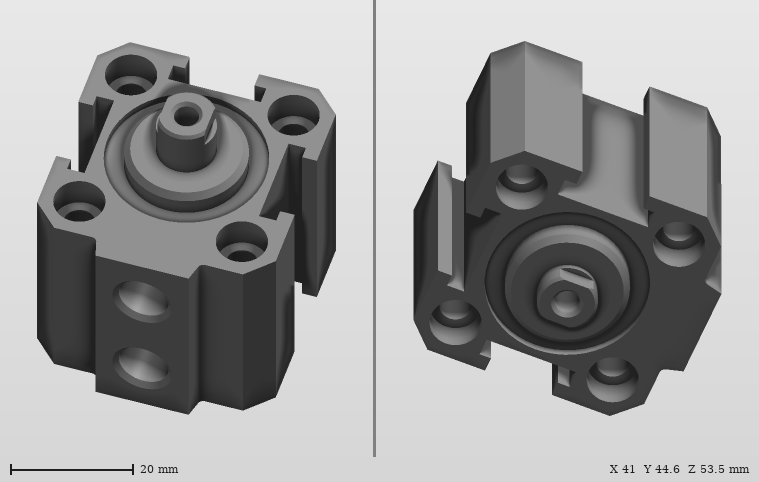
import cadquery as cq
import math


BLOCK_WIDTH = 41.0
BLOCK_HEIGHT = 35.45
CORNER_CHAMFER = 4.3
HALF_WIDTH = BLOCK_WIDTH / 2
HALF_HEIGHT = BLOCK_HEIGHT / 2

SLOT_OPENING = 11.95
SLOT_INNER_WIDTH = 16.0
SLOT_LIP = 2.5
SLOT_DEPTH = 5.5

RIB_TIP_WIDTH = SLOT_INNER_WIDTH
RIB_HEIGHT = 3.55
RIB_FLANK_ANGLE = 15.0
RIB_ROOT_RADIUS = 1.0
RIB_TIP_Y = -(HALF_WIDTH + RIB_HEIGHT)

PORT_DIAMETER = 8.5
PORT_CHAMFER = 0.85
PORT_DEPTH = 8.0
PORT_END_DISTANCE = 9.1

MOUNT_SPACING = 27.95
MOUNT_DIAMETER = 5.3
COUNTERBORE_DIAMETER = 8.55
COUNTERBORE_DEPTH = 5.5

RECESS_DIAMETER = 27.1
RECESS_DEPTH = 1.5
BOSS_DIAMETER = 20.5
BOSS_RISE = 2.5
BOSS_CHAMFER = 1.0

ROD_DIAMETER = 10.0
ROD_LENGTH = 53.5
ROD_TOP_EXTENSION = 9.0
ROD_CHAMFER = 0.5
ROD_TOP = HALF_HEIGHT + BOSS_RISE + ROD_TOP_EXTENSION
ROD_BOTTOM = ROD_TOP - ROD_LENGTH
FLAT_WIDTH = 8.0
FLAT_HEIGHT = 3.0
ROD_HOLE_DIAMETER = 4.1
ROD_HOLE_MOUTH_DIAMETER = 5.3
ROD_HOLE_DEPTH = 8.0


def mirrored_pair(upper):
    """Return a shape together with its mirror image below the z = 0 plane."""
    return upper.union(upper.mirror("XY"))


def block():
    return (
        cq.Workplane("XY")
        .box(BLOCK_WIDTH, BLOCK_WIDTH, BLOCK_HEIGHT)
        .edges("|Z")
        .chamfer(CORNER_CHAMFER)
    )


def port_rib():
    """Tapered rib whose flanks blend into the block face with concave arcs."""
    angle = math.radians(RIB_FLANK_ANGLE)
    tip_x = RIB_TIP_WIDTH / 2
    corner_x = tip_x + RIB_HEIGHT * math.tan(angle)
    tangent = RIB_ROOT_RADIUS * math.tan((math.pi / 2 - angle) / 2)
    root_x = corner_x + tangent
    flank_x = corner_x - tangent * math.sin(angle)
    root_y = -HALF_WIDTH
    flank_y = root_y - tangent * math.cos(angle)
    return (
        cq.Workplane("XY", origin=(0, 0, -HALF_HEIGHT))
        .moveTo(0, root_y)
        .lineTo(root_x, root_y)
        .radiusArc((flank_x, flank_y), -RIB_ROOT_RADIUS)
        .lineTo(tip_x, RIB_TIP_Y)
        .lineTo(0, RIB_TIP_Y)
        .mirrorY()
        .extrude(BLOCK_HEIGHT)
    )


def t_slot(turn):
    """T-slot cutter for the +Y face, turned about Z to its own face."""
    inner_height = SLOT_DEPTH - SLOT_LIP
    mouth = cq.Workplane("XY").box(SLOT_OPENING, SLOT_DEPTH, BLOCK_HEIGHT)
    mouth = mouth.translate((0, HALF_WIDTH - SLOT_DEPTH / 2, 0))
    inner = cq.Workplane("XY").box(SLOT_INNER_WIDTH, inner_height, BLOCK_HEIGHT)
    inner = inner.translate((0, HALF_WIDTH - SLOT_DEPTH + inner_height / 2, 0))
    return mouth.union(inner).rotate((0, 0, 0), (0, 0, 1), turn)


def mounting_holes():
    def drill(diameter, start, depth):
        return (
            cq.Workplane("XY", origin=(0, 0, start))
            .rect(MOUNT_SPACING, MOUNT_SPACING, forConstruction=True)
            .vertices()
            .circle(diameter / 2)
            .extrude(depth)
        )

    through = drill(MOUNT_DIAMETER, -HALF_HEIGHT, BLOCK_HEIGHT)
    counterbores = drill(COUNTERBORE_DIAMETER, HALF_HEIGHT - COUNTERBORE_DEPTH, COUNTERBORE_DEPTH)
    return through.union(mirrored_pair(counterbores))


def end_recess():
    return (
        cq.Workplane("XY", origin=(0, 0, HALF_HEIGHT - RECESS_DEPTH))
        .circle(RECESS_DIAMETER / 2)
        .extrude(RECESS_DEPTH)
    )


def guide_boss():
    return (
        cq.Workplane("XY", origin=(0, 0, HALF_HEIGHT - RECESS_DEPTH))
        .circle(BOSS_DIAMETER / 2)
        .extrude(RECESS_DEPTH + BOSS_RISE)
        .faces(">Z")
        .edges()
        .chamfer(BOSS_CHAMFER)
    )


def blind_hole(diameter, depth, mouth_chamfer):
    """Cutter for a hole with a 45 degree mouth, running from z = 0 down to -depth."""
    radius = diameter / 2
    return (
        cq.Workplane("XZ")
        .moveTo(0, 0)
        .lineTo(radius + mouth_chamfer, 0)
        .lineTo(radius, -mouth_chamfer)
        .lineTo(radius, -depth)
        .lineTo(0, -depth)
        .close()
        .revolve(360, (0, 0, 0), (0, 1, 0))
    )


def ports():
    port = blind_hole(PORT_DIAMETER, PORT_DEPTH, PORT_CHAMFER)
    facing_front = port.rotate((0, 0, 0), (1, 0, 0), 90)
    upper = facing_front.translate((0, RIB_TIP_Y, HALF_HEIGHT - PORT_END_DISTANCE))
    return mirrored_pair(upper)


def rod_blank():
    return cq.Workplane("XY", origin=(0, 0, ROD_BOTTOM)).circle(ROD_DIAMETER / 2).extrude(ROD_LENGTH)


def make_housing():
    body = block().union(port_rib())
    for turn in (0, 90, -90):
        body = body.cut(t_slot(turn))
    body = body.cut(mounting_holes())
    body = body.cut(ports())
    body = body.cut(mirrored_pair(end_recess()))
    body = body.union(mirrored_pair(guide_boss()))
    return body.cut(rod_blank())


def wrench_flats(end_z, inward):
    """Cutters for the two flats at a rod end; inward is the Z direction into the rod."""
    waste = (
        cq.Workplane("XY")
        .box(ROD_DIAMETER, ROD_DIAMETER, FLAT_HEIGHT)
        .cut(cq.Workplane("XY").box(FLAT_WIDTH, ROD_DIAMETER, FLAT_HEIGHT))
    )
    return waste.translate((0, 0, end_z + inward * FLAT_HEIGHT / 2))


def make_rod():
    mouth_chamfer = (ROD_HOLE_MOUTH_DIAMETER - ROD_HOLE_DIAMETER) / 2
    hole = blind_hole(ROD_HOLE_DIAMETER, ROD_HOLE_DEPTH, mouth_chamfer)
    top_hole = hole.translate((0, 0, ROD_TOP))
    bottom_hole = hole.mirror("XY").translate((0, 0, ROD_BOTTOM))
    return (
        rod_blank()
        .faces("<Z or >Z")
        .edges()
        .chamfer(ROD_CHAMFER)
        .cut(wrench_flats(ROD_TOP, -1))
        .cut(wrench_flats(ROD_BOTTOM, 1))
        .cut(top_hole)
        .cut(bottom_hole)
    )


housing = make_housing()
rod = make_rod()

result = cq.Compound.makeCompound([housing.solids().val(), rod.solids().val()])